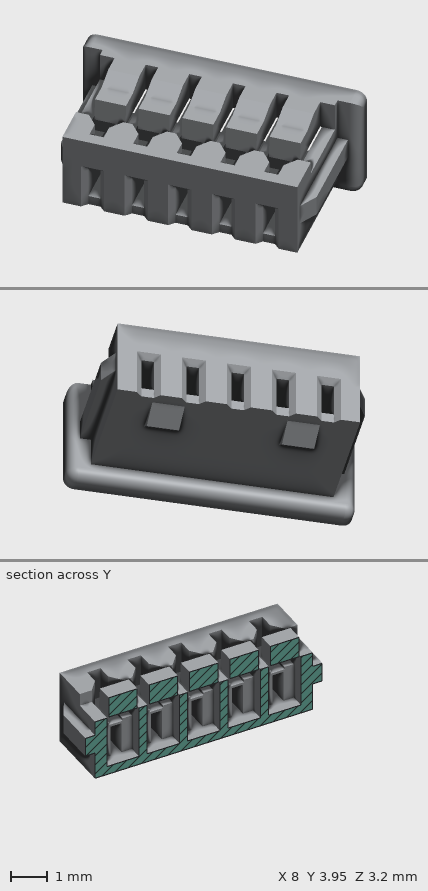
import cadquery as cq


flange_width = 8.0
flange_height = 3.2
flange_thickness = 0.59
flange_radius = 0.3

overall_depth = 3.95
body_depth = overall_depth - flange_thickness
body_width = 6.72
body_bottom = 0.46
front_block_top = 2.74

notch_front = 1.14
notch_back = 3.14
notch_floor = 2.35

contact_count = 5
pitch = 1.25
contact_xs = [(i - (contact_count - 1) / 2) * pitch for i in range(contact_count)]

finger_width = 0.89
finger_crest_front = 2.61
finger_step_back = 2.06
finger_step_top = 3.01
finger_tip_top = 1.5
finger_tip_bottom = 1.45

chamber_width = 0.98
chamber_front = 1.6
pocket_floor = 1.86
taper_front = 0.78
neck_width = 0.41
neck_front = 0.34
neck_floor = 1.78

pin_width = 0.34
pin_bottom = 0.74
pin_top = 1.7
lead_in = 0.16

rail_bottom = 1.3
rail_top = 1.9
rail_width = 0.3
rail_nose_front = 0.24
rail_nose_back = 0.75

ramp_width = 0.9
ramp_x = 1.5 * pitch
ramp_front = 0.35
ramp_tip = 1.06
ramp_back = 1.44
ramp_tip_z = 0.19


def block(x0, x1, y0, y1, z0, z1):
    """Box between two opposite corners."""
    return cq.Workplane("XY").box(x1 - x0, y1 - y0, z1 - z0, centered=False).translate((x0, y0, z0))


def bar(x, width, y0, y1, z0, z1):
    """Box centred on x."""
    return block(x - width / 2, x + width / 2, y0, y1, z0, z1)


def side_profile(points, x, width):
    """Extrude a (Y, Z) outline along X, centred on x."""
    return cq.Workplane("YZ").polyline(points).close().extrude(width / 2, both=True).translate((x, 0, 0))


def plan_profile(points, z0, z1):
    """Extrude an (X, Y) outline from z0 up to z1."""
    return cq.Workplane("XY").workplane(offset=z0).polyline(points).close().extrude(z1 - z0)


def make_flange():
    plate = bar(0, flange_width, body_depth, overall_depth, 0, flange_height)
    rounded_front = plate.edges("(<Y and |Z) or (<Y and <Z) or (|Y and <Z)").fillet(flange_radius)
    rounded_outline = plate.edges("|Y").fillet(flange_radius)
    return rounded_front.intersect(rounded_outline)


def make_body():
    body = bar(0, body_width, 0, body_depth, body_bottom, flange_height)
    step = bar(0, body_width, 0, notch_front, front_block_top, flange_height)
    notch = bar(0, body_width, notch_front, notch_back, notch_floor, flange_height)
    return body.cut(step).cut(notch)


def make_chamber(x):
    """Deep rear chamber, open at the back and reaching up to the notch."""
    return bar(x, chamber_width, chamber_front, overall_depth, pin_bottom, notch_floor)


def make_pocket(x):
    """Shallow tapered pocket ahead of the chamber, with a narrower neck in its floor.

    It opens through the top of the front block.
    """
    half_pocket = chamber_width / 2
    half_neck = neck_width / 2
    outline = [
        (x - half_pocket, chamber_front),
        (x - half_pocket, notch_front),
        (x - half_neck, taper_front),
        (x + half_neck, taper_front),
        (x + half_pocket, notch_front),
        (x + half_pocket, chamber_front),
    ]
    pocket = plan_profile(outline, pocket_floor, front_block_top)
    neck = bar(x, neck_width, neck_front, chamber_front, neck_floor, front_block_top)
    return pocket.union(neck)


def make_finger(x):
    outline = [
        (notch_back, notch_floor),
        (notch_back, flange_height),
        (finger_crest_front, flange_height),
        (finger_step_back, finger_step_top),
        (finger_tip_top, finger_step_top),
        (finger_tip_bottom, notch_floor),
    ]
    return side_profile(outline, x, finger_width)


def make_pin_opening(x):
    """Through passage with a 45 degree lead-in that is open at the bottom."""
    passage = bar(x, pin_width, 0, overall_depth, pin_bottom, pin_top)
    half_outer = pin_width / 2 + lead_in
    half_inner = pin_width / 2
    outer_top = pin_top + lead_in
    flare_plan = [
        (x - half_outer, 0),
        (x + half_outer, 0),
        (x + half_inner, lead_in),
        (x - half_inner, lead_in),
    ]
    flare_side = [
        (0, body_bottom),
        (0, outer_top),
        (lead_in, pin_top),
        (lead_in, body_bottom),
    ]
    sloped_sides = plan_profile(flare_plan, body_bottom, outer_top)
    sloped_top = side_profile(flare_side, x, 2 * half_outer)
    return passage.union(sloped_sides.intersect(sloped_top))


def make_rail():
    """Rail on the -X side with a tapered nose."""
    inner = -body_width / 2
    outer = inner - rail_width
    outline = [
        (inner, rail_nose_front),
        (outer, rail_nose_back),
        (outer, body_depth),
        (inner, body_depth),
    ]
    return plan_profile(outline, rail_bottom, rail_top)


def make_ramp(x):
    outline = [(ramp_front, body_bottom), (ramp_tip, ramp_tip_z), (ramp_back, body_bottom)]
    return side_profile(outline, x, ramp_width)


rail = make_rail()
result = make_body().union(make_flange()).union(rail).union(rail.mirror("YZ"))

for side in (-1, 1):
    result = result.union(make_ramp(side * ramp_x))

for contact_x in contact_xs:
    for make_opening in (make_chamber, make_pocket, make_pin_opening):
        result = result.cut(make_opening(contact_x))
    result = result.union(make_finger(contact_x))